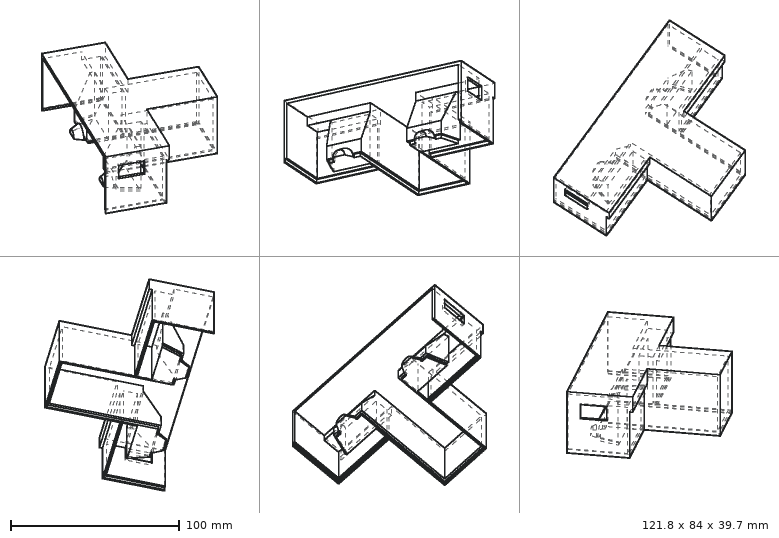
import cadquery as cq

length = 121.8
total_depth = 84.0
height = 39.7
bar_depth = 39.8
arm_width = 35.7

roof = 2.2
side_wall = 2.0
arm_wall = 2.2
rear_step_depth = 1.8
rear_step_height = 29.8
rear_face = bar_depth - rear_step_depth
inner_back = rear_face - side_wall
inner_half = length / 2 - side_wall
passage_half = arm_width / 2 - arm_wall

rebate_height = 2.2
lip = 0.9
block_inset = 1.3
corner_inset = 0.9

block_front = 13.4
block_back = 27.4
block_outer_front = 39.5
block_outer_back = 44.2
slope_bottom = 10.6
beam_front = 24.2
beam_bottom = 32.0
peg_x = 28.0
peg_radius = 6.8
peg_tip_radius = 4.0
peg_length = 5.2

window_front = 8.0
window_bottom = 22.9


def box(x0, x1, y0, y1, z0, z1):
    """Box between the given limits."""
    return cq.Workplane("XY").box(x1 - x0, y1 - y0, z1 - z0, centered=False).translate((x0, y0, z0))


def tee(bar_half, bar_back, arm_half, arm_back, z0, z1):
    """Upright T-shaped prism: a bar with an arm behind it."""
    bar = box(-bar_half, bar_half, 0, bar_back, z0, z1)
    return bar.union(box(-arm_half, arm_half, 0, arm_back, z0, z1))


def block_prism(inset, outer_corner_inset, z1):
    """Right-hand block and the passage wall behind it; inset thins the block and the passage side."""
    inner = passage_half + inset
    wall_outer = arm_width / 2
    return (
        cq.Workplane("XY")
        .moveTo(inner, block_front + inset)
        .lineTo(block_outer_front - outer_corner_inset, block_front + inset)
        .lineTo(block_outer_back - inset, block_back)
        .lineTo(wall_outer, block_back)
        .lineTo(wall_outer, rear_face)
        .lineTo(inner, rear_face)
        .close()
        .extrude(z1)
    )


def block():
    """Block with a sloping front and a narrower foot."""
    side_profile = (
        cq.Workplane("YZ")
        .moveTo(block_front, 0)
        .lineTo(block_front, slope_bottom)
        .lineTo(beam_front, beam_bottom)
        .lineTo(beam_front, height - roof)
        .lineTo(rear_face, height - roof)
        .lineTo(rear_face, 0)
        .close()
        .extrude(length / 2)
    )
    upper = block_prism(0, 0, height - roof).cut(
        box(0, length / 2, 0, bar_depth, 0, rebate_height)
    )
    return upper.union(block_prism(block_inset, corner_inset, rebate_height)).intersect(side_profile)


def peg():
    """Half cone pointing forward, with a short root that reaches the inset foot."""
    root = cq.Workplane("XZ", origin=(peg_x, block_front, 0)).circle(peg_radius).extrude(-2 * block_inset)
    cone = (
        cq.Workplane("XZ", origin=(peg_x, block_front, 0))
        .circle(peg_radius)
        .workplane(offset=peg_length)
        .circle(peg_tip_radius)
        .loft()
    )
    return root.union(cone).intersect(box(0, length, 0, bar_depth, 0, height))


def shell():
    """Hollow T with an open front and underside, stepped at the rear of the bar."""
    body = tee(length / 2, bar_depth, arm_width / 2, total_depth, 0, height)
    for x0, x1 in ((-length / 2, -arm_width / 2), (arm_width / 2, length / 2)):
        body = body.cut(box(x0, x1, rear_face, bar_depth, 0, rear_step_height))
    body = body.cut(
        tee(inner_half, inner_back, passage_half, total_depth - arm_wall, 0, height - roof)
    )
    return body.cut(
        tee(length / 2 - lip, rear_face - lip, arm_width / 2 - lip, total_depth - lip, 0, rebate_height)
    )


result = shell()
right_side = block().union(peg()).union(
    box(passage_half, inner_half, beam_front, inner_back, beam_bottom, height - roof)
)
result = result.union(right_side).union(right_side.mirror("YZ"))
result = result.cut(
    box(inner_half, length / 2, window_front, beam_front, window_bottom, beam_bottom)
)